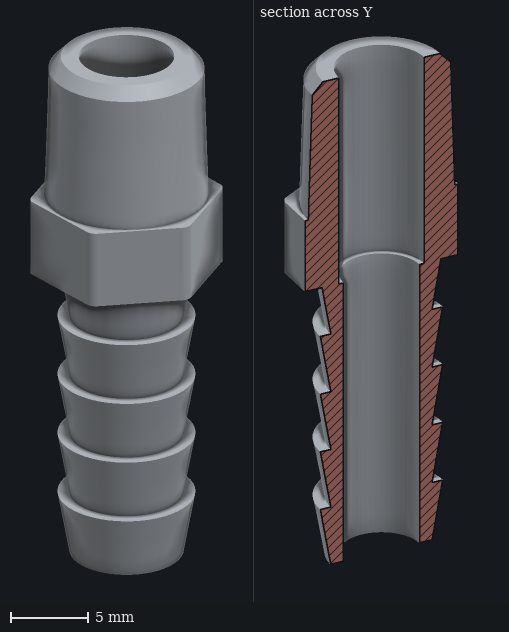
import cadquery as cq
import math

total_length = 35.6
barb_count = 4
barb_pitch = 4.25
hex_bottom = 20.48
hex_top = 25.7
chamfer_height = 0.82

barb_root_diameter = 7.4
barb_crest_diameter = 8.95

hex_across_flats = 11.1
hex_corner_radius = 0.75

pipe_base_diameter = 10.7
pipe_upper_diameter = 10.1
pipe_tip_diameter = 8.5

hose_bore_diameter = 5.52
pipe_bore_diameter = 6.2


def cone(bottom_diameter, top_diameter, bottom, height):
    """Solid cone frustum standing on the Z axis."""
    return cq.Workplane(
        cq.Solid.makeCone(bottom_diameter / 2, top_diameter / 2, height, pnt=cq.Vector(0, 0, bottom))
    )


def hose_tail():
    """Full barbs stacked up from Z = 0, then one cut short by the hexagon."""
    tail = cone(barb_root_diameter, barb_crest_diameter, 0, barb_pitch)
    for index in range(1, barb_count):
        tail = tail.union(cone(barb_root_diameter, barb_crest_diameter, index * barb_pitch, barb_pitch))
    short_bottom = barb_count * barb_pitch
    short_height = hex_bottom - short_bottom
    barb_flare = barb_crest_diameter - barb_root_diameter
    short_top_diameter = barb_root_diameter + barb_flare * short_height / barb_pitch
    return tail.union(cone(barb_root_diameter, short_top_diameter, short_bottom, short_height))


def hexagon():
    across_corners = hex_across_flats / math.cos(math.pi / 6)
    return (
        cq.Workplane("XY", origin=(0, 0, hex_bottom))
        .transformed(rotate=(0, 0, 30))
        .polygon(6, across_corners)
        .extrude(hex_top - hex_bottom)
        .edges("|Z")
        .fillet(hex_corner_radius)
    )


def pipe_end():
    chamfer_bottom = total_length - chamfer_height
    taper = cone(pipe_base_diameter, pipe_upper_diameter, hex_top, chamfer_bottom - hex_top)
    tip = cone(pipe_upper_diameter, pipe_tip_diameter, chamfer_bottom, chamfer_height)
    return taper.union(tip)


def bore():
    narrow = cq.Workplane("XY").circle(hose_bore_diameter / 2).extrude(total_length)
    wide = (
        cq.Workplane("XY", origin=(0, 0, hex_bottom))
        .circle(pipe_bore_diameter / 2)
        .extrude(total_length - hex_bottom)
    )
    return narrow.union(wide)


result = hose_tail().union(hexagon()).union(pipe_end()).cut(bore())